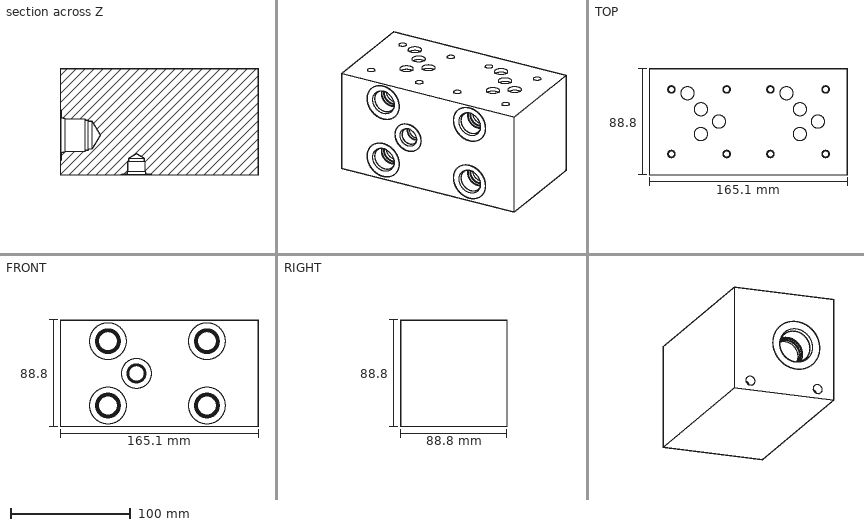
import cadquery as cq
import math

LENGTH = 165.1
WIDTH = 88.8
HEIGHT = 88.8

DRILL_POINT_ANGLE = 118.0

STATION_PITCH = 82.5
STATION_OFFSETS = (0.0, STATION_PITCH)

BOLT_X = 18.3
BOLT_Y = 17.7
BOLT_PITCH_X = 46.0
BOLT_PITCH_Y = 53.8
BOLT_THREAD_DIAMETER = 6.3
BOLT_DRILL_DIAMETER = 5.1
BOLT_THREAD_DEPTH = 13.2
BOLT_DRILL_DEPTH = 16.5

VALVE_PORT_DIAMETER = 11.0
VALVE_PORT_DEPTH = 3.3
VALVE_PORT_PLACES = ((31.7, 68.4), (43.0, 55.0), (58.0, 44.7), (43.0, 34.3))

WORK_PORT_X = 39.6
WORK_PORT_Z = 17.7
WORK_PORT_PITCH_Z = 53.7
GAUGE_PORT_X = 63.4

PRESSURE_PORT_Y = 33.4
MOUNT_Y = 14.4
MOUNT_PITCH_Y = 60.1
MOUNT_Z = 8.1
MOUNT_THREAD_DIAMETER = 8.0
MOUNT_DRILL_DIAMETER = 6.6
MOUNT_THREAD_DEPTH = 13.2
MOUNT_DRILL_DEPTH = 16.5

SPOTFACE_DEPTH = 0.7


def turned_cutter(profile):
    """Revolve (diameter, depth) steps into a cutter along -Z, ending in a drill point."""
    drill_radius = profile[-1][0] / 2
    tip_depth = profile[-1][1] + drill_radius / math.tan(math.radians(DRILL_POINT_ANGLE / 2))
    wall = [(diameter / 2, -depth) for diameter, depth in profile]
    outline = [(0, 0)] + wall + [(0, -tip_depth)]
    return cq.Workplane("XZ").polyline(outline).close().revolve(360, (0, 0), (0, 1))


def tapped_cutter(thread_diameter, thread_depth, drill_diameter, drill_depth):
    """Thread-diameter bore followed by a smaller tap drill."""
    return turned_cutter(
        (
            (thread_diameter, 0),
            (thread_diameter, thread_depth),
            (drill_diameter, thread_depth),
            (drill_diameter, drill_depth),
        )
    )


def port_cutter(spotface, mouth, throat, seat_depth, thread, thread_depth, bores):
    """Spotfaced port: conical seal seat, thread bore, then (diameter, end depth) bores."""
    seat_end = SPOTFACE_DEPTH + seat_depth
    profile = [
        (spotface, 0),
        (spotface, SPOTFACE_DEPTH),
        (mouth, SPOTFACE_DEPTH),
        (throat, seat_end),
        (thread, seat_end),
        (thread, thread_depth),
    ]
    start = thread_depth
    for diameter, end in bores:
        profile += [(diameter, start), (diameter, end)]
        start = end
    return turned_cutter(profile)


def on_front(cutter, x, z):
    """Aim a cutter into the front face."""
    return cutter.rotate((0, 0, 0), (1, 0, 0), 90).translate((x, 0, z))


def on_left(cutter, y, z):
    """Aim a cutter into the left end."""
    return cutter.rotate((0, 0, 0), (0, 1, 0), -90).translate((0, y, z))


def on_top(cutter, x, y):
    """Place a cutter on the top face."""
    return cutter.translate((x, y, HEIGHT))


work_port = port_cutter(
    spotface=30.7,
    mouth=20.6,
    throat=19.3,
    seat_depth=2.5,
    thread=19.0,
    thread_depth=14.0,
    bores=((17.5, 16.5), (15.8, 19.8)),
)
gauge_port = port_cutter(
    spotface=25.0,
    mouth=15.8,
    throat=14.5,
    seat_depth=2.5,
    thread=14.2,
    thread_depth=11.5,
    bores=((12.9, 14.0),),
)
pressure_port = port_cutter(
    spotface=42.0,
    mouth=29.2,
    throat=27.4,
    seat_depth=3.3,
    thread=26.9,
    thread_depth=20.6,
    bores=((25.0, 23.1), (23.0, 26.4)),
)
bolt_hole = tapped_cutter(BOLT_THREAD_DIAMETER, BOLT_THREAD_DEPTH, BOLT_DRILL_DIAMETER, BOLT_DRILL_DEPTH)
mount_hole = tapped_cutter(MOUNT_THREAD_DIAMETER, MOUNT_THREAD_DEPTH, MOUNT_DRILL_DIAMETER, MOUNT_DRILL_DEPTH)
valve_port = turned_cutter(((VALVE_PORT_DIAMETER, 0), (VALVE_PORT_DIAMETER, VALVE_PORT_DEPTH)))

result = cq.Workplane("XY").box(LENGTH, WIDTH, HEIGHT, centered=False)

for offset in STATION_OFFSETS:
    for x, y in VALVE_PORT_PLACES:
        result = result.cut(on_top(valve_port, x + offset, y))
    for x in (BOLT_X, BOLT_X + BOLT_PITCH_X):
        for y in (BOLT_Y, BOLT_Y + BOLT_PITCH_Y):
            result = result.cut(on_top(bolt_hole, x + offset, y))
    for z in (WORK_PORT_Z, WORK_PORT_Z + WORK_PORT_PITCH_Z):
        result = result.cut(on_front(work_port, WORK_PORT_X + offset, z))

result = result.cut(on_front(gauge_port, GAUGE_PORT_X, HEIGHT / 2))
result = result.cut(on_left(pressure_port, PRESSURE_PORT_Y, HEIGHT / 2))
for y in (MOUNT_Y, MOUNT_Y + MOUNT_PITCH_Y):
    result = result.cut(on_left(mount_hole, y, MOUNT_Z))